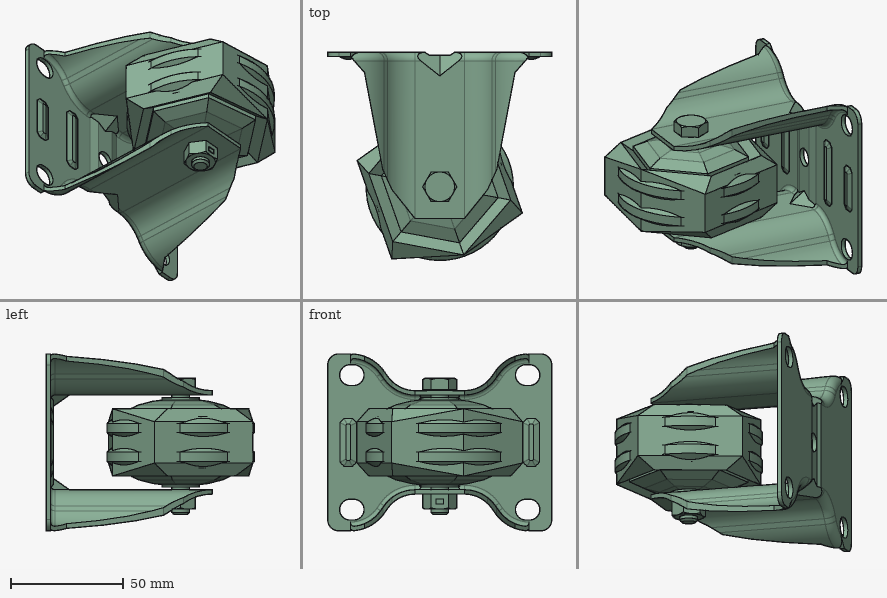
import cadquery as cq
import math


plate_length = 100.0
plate_height = 79.0
plate_corner_radius = 5.0
sheet = 2.0
axle_to_plate_back = 60.0
plate_front = axle_to_plate_back - sheet
wing_gap = 42.2
wing_inner = wing_gap / 2
wing_outer = wing_inner + sheet
flat_half_width = 11.0
wing_tip = -14.2
wing_root_x = plate_length / 2 - 10.2
bend_radius = 2.0
bend_end_x = 30.0
bend_end_z = 30.0

wing_slope = 55.0
hollow_width = 12.2

wing_edge = [
    (wing_root_x, axle_to_plate_back),
    (wing_root_x, plate_front),
    (33.6, 51.0),
    (25.4, 7.6),
    (21.3, -1.3),
    (flat_half_width, wing_tip),
]

slot_length = 10.8
slot_width = 9.2
slot_x = 39.2
slot_z = 30.0
centre_hole_diameter = 8.3
rib_rise = 1.2
rib_width = 7.4
rib_corner_share = 0.25
rib_slope_drop = 1.0
rib_slope_width = 2.6
outer_rib_x = 40.8
outer_rib_length = 21.4
inner_rib_x = 20.8
inner_rib_length = 31.0
channel_outer_half = 9.0
channel_inner_half = 4.6
channel_back_half = 6.6
channel_depth = 1.3

dart_half_width = 10.5
dart_reach = 8.4
dart_drop = 5.9
pit_reach = 10.6
pit_scale = pit_reach / dart_reach

shank_diameter = 8.0
hex_flats = 13.2
hex_corners = hex_flats / math.cos(math.pi / 6)
bolt_collar_diameter = 11.8
bolt_collar_height = 0.4
bolt_head_height = 5.1
bolt_end = -32.2
bolt_end_chamfer = 1.0
nut_height = 6.7
nut_mark_width = 3.4
nut_mark_height = 2.2
nut_mark_depth = 0.3
hex_chamfer_height = 0.6

wheel_turn = 49.4
tyre_half_width = 15.0
tyre_side_radius = 32.2
crown_half_width = 9.2
crown_radius = 38.7
crown_half_angle = 37.0
rim_edge_radius = 26.5
rim_half_width = 11.5
ridge_radius = 32.9
ridge_centre = 6.4
ridge_tip_half = 2.1
ridge_foot_half = 5.9
ridge_foot_radius = 29.2
valley_radius = 28.4
hub_rings = [(rim_edge_radius, 13.7), (20.0, 16.7), (13.0, 18.4), (8.7, 18.9)]
hub_top = hub_rings[-1][1]
cap_diameter = 16.8
cap_thickness = 1.1


def polar(radius, angle, z):
    turn = math.radians(angle)
    return (radius * math.cos(turn), radius * math.sin(turn), z)


def polyhedron(faces):
    """A solid bounded by flat faces, each given by its corner points."""
    flat_faces = []
    for corners in faces:
        border = cq.Wire.makePolygon([cq.Vector(*corner) for corner in corners], close=True)
        flat_faces.append(cq.Face.makeFromWires(border))
    return cq.Workplane(cq.Solid.makeSolid(cq.Shell.makeShell(flat_faces)))


def hexagon(radius, z):
    return [polar(radius, wheel_turn + 60 * i, z) for i in range(6)]


def prismoid(lower, upper):
    """Solid between two parallel outlines with the same number of corners."""
    sides = [[lower[i - 1], lower[i], upper[i], upper[i - 1]] for i in range(len(lower))]
    return polyhedron([lower, upper] + sides)


def hex_frustum(lower_radius, lower_z, upper_radius, upper_z):
    return prismoid(hexagon(lower_radius, lower_z), hexagon(upper_radius, upper_z))


def cylinder(diameter, bottom, top):
    return cq.Workplane("XY").workplane(offset=bottom).circle(diameter / 2).extrude(top - bottom)


def both_sides(shape):
    """The shape together with its mirror image across the wheel's middle plane."""
    return shape.union(shape.mirror("XY"))


def waist_block(inset, back, bend):
    """Block that fills the waisted outline between the wings, its outline shrunk by the inset.

    Its edges along the back are rounded with the bend radius. The ends reach past the wings.
    """
    half_slope = math.radians(wing_slope / 2)
    rise = plate_height / 2 - wing_outer
    wing_width = wing_root_x - flat_half_width
    straight_width = (rise - wing_width * math.tan(half_slope)) / (
        math.tan(2 * half_slope) - math.tan(half_slope)
    )
    hollow_radius = hollow_width / math.sin(2 * half_slope)
    crowned_radius = (wing_width - hollow_width - straight_width) / math.sin(2 * half_slope)

    def hollow_point(angle):
        return (
            flat_half_width + hollow_radius * math.sin(angle),
            wing_outer + hollow_radius * (1 - math.cos(angle)),
        )

    def crowned_point(angle):
        return (
            wing_root_x - crowned_radius * math.sin(angle),
            plate_height / 2 - crowned_radius * (1 - math.cos(angle)),
        )

    hollow_arc = [hollow_point(0), hollow_point(half_slope), hollow_point(2 * half_slope)]
    crowned_arc = [crowned_point(2 * half_slope), crowned_point(half_slope), crowned_point(0)]
    left_hollow = [(-x, z) for x, z in reversed(hollow_arc)]
    left_crowned = [(-x, z) for x, z in reversed(crowned_arc)]
    end_x = plate_length / 2
    end_z = plate_height / 2
    low_z = -flat_half_width
    upper = (
        cq.Workplane("XZ", origin=(0, back, 0))
        .moveTo(*left_hollow[-1])
        .lineTo(*hollow_arc[0])
        .threePointArc(*hollow_arc[1:])
        .lineTo(*crowned_arc[0])
        .threePointArc(*crowned_arc[1:])
        .lineTo(end_x, end_z)
        .lineTo(end_x, low_z)
        .lineTo(-end_x, low_z)
        .lineTo(-end_x, end_z)
        .lineTo(*left_crowned[0])
        .threePointArc(*left_crowned[1:])
        .lineTo(*left_hollow[0])
        .threePointArc(*left_hollow[1:])
        .close()
    )
    if inset:
        upper = upper.offset2D(-inset, "intersection")
    return both_sides(upper.extrude(back - wing_tip).edges(">Y and (not |Z) and (not <Z)").fillet(bend))


def make_wings():
    outer = waist_block(0, axle_to_plate_back, bend_radius + sheet)
    inner = waist_block(sheet, plate_front, bend_radius)
    outline = wing_edge + [(-x, y) for x, y in reversed(wing_edge)]
    trim = cq.Workplane("XY").polyline(outline).close().extrude(plate_height / 2, both=True)
    return outer.cut(inner).intersect(trim)


def make_plate_ends():
    """The flat plate ends outside the wings, with rounded corners."""
    plate = (
        cq.Workplane("XZ", origin=(0, axle_to_plate_back, 0))
        .rect(plate_length, plate_height)
        .extrude(sheet)
        .edges("|Y")
        .fillet(plate_corner_radius)
    )
    middle_outline = [
        (-wing_root_x, plate_height / 2),
        (wing_root_x, plate_height / 2),
        (bend_end_x, bend_end_z),
        (bend_end_x, -bend_end_z),
        (wing_root_x, -plate_height / 2),
        (-wing_root_x, -plate_height / 2),
        (-bend_end_x, -bend_end_z),
        (-bend_end_x, bend_end_z),
    ]
    middle = (
        cq.Workplane("XZ", origin=(0, axle_to_plate_back, 0))
        .polyline(middle_outline)
        .close()
        .extrude(sheet)
    )
    return plate.cut(middle)


def rib(x, length):
    """Bar with cut corners whose top rises from its edges to a narrow flat."""
    def outline(width, height, y):
        corner = width * rib_corner_share
        side, end = width / 2, height / 2
        corners = [(side, end - corner), (side - corner, end), (corner - side, end), (-side, end - corner)]
        corners += [(-a, -b) for a, b in corners]
        return [(x + a, y, b) for a, b in corners]

    edge_y = plate_front - rib_rise + rib_slope_drop
    foot = outline(rib_width, length, plate_front)
    edge = outline(rib_width, length, edge_y)
    top = outline(rib_width - 2 * rib_slope_width, length - 2 * rib_slope_width, plate_front - rib_rise)
    return prismoid(foot, edge).union(prismoid(edge, top))


def channel_bar(wide_half, wide_y, reach):
    """Bar along Z that narrows from its back at wide_y to the flat of the channel."""
    narrow_y = wide_y - channel_depth
    return (
        cq.Workplane("XY")
        .polyline([
            (-wide_half, wide_y),
            (-channel_inner_half, narrow_y),
            (channel_inner_half, narrow_y),
            (wide_half, wide_y),
        ])
        .close()
        .extrude(reach, both=True)
    )


def dart(corner_y, corner_z, scale):
    """Three-sided wedge in the bend, pointing along the wing and down the plate."""
    tip = (0, corner_y - scale * dart_reach, corner_z)
    foot = (0, corner_y, corner_z - scale * dart_drop)
    left = (-scale * dart_half_width, corner_y, corner_z)
    right = (scale * dart_half_width, corner_y, corner_z)
    return polyhedron([[left, right, tip], [left, right, foot], [left, tip, foot], [right, tip, foot]])


def make_bracket():
    bracket = make_wings().union(make_plate_ends())

    for side in (-1, 1):
        bracket = bracket.union(rib(side * outer_rib_x, outer_rib_length))
        bracket = bracket.union(rib(side * inner_rib_x, inner_rib_length))

    pad = channel_bar(channel_outer_half, plate_front, wing_inner)
    groove = channel_bar(channel_back_half, axle_to_plate_back, plate_height / 2)
    darts = both_sides(dart(plate_front, wing_inner, 1))
    pits = both_sides(dart(axle_to_plate_back, wing_outer, pit_scale))
    bracket = bracket.union(pad).union(darts).cut(groove).cut(pits)

    plate_face = cq.Workplane("XZ", origin=(0, axle_to_plate_back, 0))
    corner_slots = (
        plate_face.rect(2 * slot_x, 2 * slot_z, forConstruction=True)
        .vertices()
        .slot2D(slot_length, slot_width)
        .extrude(2 * sheet)
    )
    centre_hole = plate_face.circle(centre_hole_diameter / 2).extrude(2 * sheet)
    bolt_hole = cylinder(shank_diameter, -wing_outer, wing_outer)
    return bracket.cut(corner_slots).cut(centre_hole).cut(bolt_hole)


def hex_prism(bottom, height):
    """Hexagon with corners on the X axis and the corners of its top end turned off."""
    prism = cq.Workplane("XY").workplane(offset=bottom).polygon(6, hex_corners).extrude(height)
    turned = cylinder(hex_corners, bottom, bottom + height)
    turned = turned.faces(">Z").chamfer(hex_chamfer_height, (hex_corners - hex_flats) / 2)
    return prism.intersect(turned)


def make_bolt():
    head_bottom = wing_outer + bolt_collar_height
    shank = cylinder(shank_diameter, bolt_end, head_bottom).faces("<Z").chamfer(bolt_end_chamfer)
    collar = cylinder(bolt_collar_diameter, wing_outer, head_bottom)
    return shank.union(collar).union(hex_prism(head_bottom, bolt_head_height))


def make_nut():
    nut = hex_prism(wing_outer, nut_height).mirror("XY")
    mark = cq.Workplane("XY").box(nut_mark_width, 2 * nut_mark_depth, nut_mark_height)
    mark = mark.translate((0, -hex_flats / 2, -wing_outer - nut_height / 2))
    return nut.cut(mark).cut(cylinder(shank_diameter, -wing_outer - nut_height, -wing_outer))


def make_rim():
    half_section = [
        (0, rim_half_width),
        (ridge_foot_radius, rim_half_width),
        (ridge_radius, ridge_centre + ridge_tip_half),
        (ridge_radius, ridge_centre - ridge_tip_half),
        (valley_radius, ridge_centre - ridge_foot_half),
    ]
    section = half_section + [(r, -z) for r, z in reversed(half_section)]
    core = cq.Workplane("XZ").polyline(section).close().revolve(360, (0, 0), (0, 1))

    hub = hex_frustum(rim_edge_radius, 0, *hub_rings[0])
    for lower, upper in zip(hub_rings, hub_rings[1:]):
        hub = hub.union(hex_frustum(*lower, *upper))
    return core.union(both_sides(hub)).cut(cylinder(shank_diameter, -hub_top, hub_top))


def make_tyre_block():
    """Six-sided block: two opposite seam corners are straight, the other four bulge to the crown."""
    upper = hexagon(tyre_side_radius, tyre_half_width)
    lower = hexagon(tyre_side_radius, -tyre_half_width)
    faces = [upper, lower]
    for seam in (1, 4):
        near, far, next_seam = seam + 1, (seam + 2) % 6, (seam + 3) % 6
        middle = wheel_turn + 60 * (seam + 1.5)
        near_top = polar(crown_radius, middle - crown_half_angle, crown_half_width)
        far_top = polar(crown_radius, middle + crown_half_angle, crown_half_width)
        near_bottom = polar(crown_radius, middle - crown_half_angle, -crown_half_width)
        far_bottom = polar(crown_radius, middle + crown_half_angle, -crown_half_width)
        for side, a, b in ((upper, near_top, far_top), (lower, near_bottom, far_bottom)):
            faces.append([side[seam], side[near], a])
            faces.append([side[near], side[far], b, a])
            faces.append([side[far], side[next_seam], b])
        faces.append([upper[seam], lower[seam], near_bottom, near_top])
        faces.append([near_top, near_bottom, far_bottom, far_top])
        faces.append([far_top, far_bottom, lower[next_seam], upper[next_seam]])
    return polyhedron(faces)


def make_tyre(rim):
    recess = hex_frustum(rim_edge_radius, rim_half_width, tyre_side_radius, tyre_half_width)
    bore = cylinder(rim_edge_radius, -rim_half_width, rim_half_width)
    return make_tyre_block().cut(both_sides(recess)).cut(bore).cut(rim)


def make_cap(bottom):
    """Flat washer between the hub and a wing."""
    return cylinder(cap_diameter, bottom, bottom + cap_thickness).cut(
        cylinder(shank_diameter, bottom, bottom + cap_thickness)
    )


bracket = make_bracket()
bolt = make_bolt()
nut = make_nut()
rim = make_rim()
tyre = make_tyre(rim)
caps = [make_cap(bottom) for bottom in (hub_top, -hub_top - cap_thickness)]

result = cq.Compound.makeCompound(
    [bracket.val(), bolt.val(), nut.val(), rim.val(), tyre.val()] + [cap.val() for cap in caps]
)